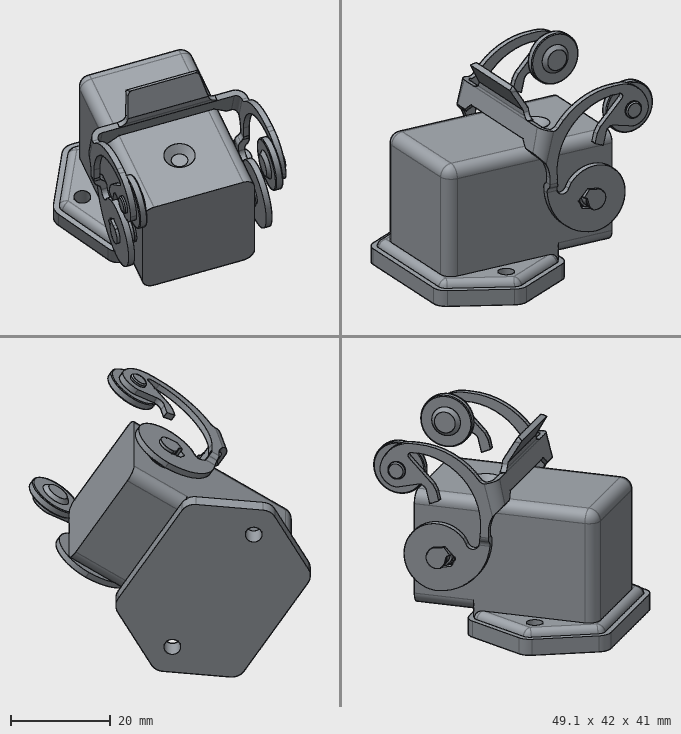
import cadquery as cq
import math

overall_length = 49.05

base_length = 30.05
flange_height = 3.45
lip_height = 1.45
lip_inset = 1.2
lip_fillet = 1.8
apex_y = 21.4
side_corner_y = 13.6
corner_radius = 3.05
base_center_x = base_length / 2
mount_hole_radius = 1.65
mount_hole_y = 15.0
base_top = flange_height + lip_height

body_left = 3.0
body_right = 41.55
body_half_width = 11.95
body_top = 28.5
body_round = 2.45
foot_right = 29.0
overhang_bottom = 4.55

recess_x = 30.5
recess_radius = 3.15
recess_floor_radius = 1.65
recess_depth = recess_radius - recess_floor_radius

sheet = 1.3
lever_outer_y = 16.6
lever_inner_y = lever_outer_y - sheet
disc_inner_y = lever_inner_y - sheet

bridge_tilt = 14.5
bridge_bend = 2.5
bridge_top_x = 22.7
bridge_top_z = 34.3
channel_reach = 29.45
bridge_bottom_x = 21.45
bridge_bottom_z = 29.1
relief_top_half = 10.1
relief_top_z = 30.55
relief_bottom_half = 12.85
relief_bottom_z = 28.15

joggle_top = 22.35
joggle_bottom = 20.1
joggle_rise = 0.75
arm_left = 24.3
arm_right = 26.0
arm_top = 40.55
slot_top = 38.6
arm_end_radius = 3.65
arm_end_offset = 3.15
tail_left = 24.4
tail_right = 26.75

tab_root_z = 34.85
tab_bend_z = 35.85
tab_lean = 30.0
tab_thickness = 1.2
tab_top = 41.0
tab_tip_half = 7.75
tab_corner = 1.05
tab_neck_half = 8.75
tab_neck_z = 35.55
tab_base_half = 10.4

pivot_x = 35.5
pivot_z = 16.5
disc_radius = 7.1
disc_neck_angle = 140.0
pivot_head_y = 15.95
pivot_head_radius = 2.2
lug_start = (0.85, 2.05)
lug_peak = (-1.6, 2.45)
lug_heel = (-2.85, 0.9)
key_tip = (-3.8, 0.2)
key_corner = (-2.85, -1.55)
key_end = (-0.85, -2.05)
pivot_steps = ((2.8, 12.35), (2.5, 13.55), (2.0, lever_inner_y))

roller_x = 43.6
roller_z = 34.55
roller_radius = overall_length - roller_x
roller_inner_y = 13.7
roller_edge = 0.2
hub_end_y = 12.9
hub_radius = 3.05
hub_tip_radius = 2.2
rivet_end_y = 17.25
rivet_radius = 1.8
rivet_chamfer = 0.3


def block(x_start, x_end, half_width, z_start, z_end):
    """Box centred on Y = 0."""
    size = (x_end - x_start, 2 * half_width, z_end - z_start)
    return cq.Workplane("XY", origin=(x_start, 0, z_start)).box(*size, centered=(False, True, False))


def side_plane(y):
    """XZ plane at the given Y; extruding from it goes toward +Y."""
    return cq.Workplane(cq.Plane((0, y, 0), (1, 0, 0), (0, -1, 0)))


def along_y(wire, length):
    """Extrude a closed XZ outline toward +Y."""
    return wire.extrude(-length)


def disc_along_y(x, z, radius, y_start, y_end):
    return along_y(side_plane(y_start).center(x, z).circle(radius), y_end - y_start)


def hexagon(inset):
    """Flange outline with sharp corners, moved inward by inset."""
    points = [
        (0, -side_corner_y),
        (base_center_x, -apex_y),
        (base_length, -side_corner_y),
        (base_length, side_corner_y),
        (base_center_x, apex_y),
        (0, side_corner_y),
    ]
    outline = cq.Workplane("XY").polyline(points).close()
    return outline.offset2D(-inset) if inset else outline


def make_base():
    """Flange with its rounded lip and two mounting holes."""
    flange = hexagon(0).extrude(flange_height).edges("|Z").fillet(corner_radius)
    lip = hexagon(lip_inset).extrude(base_top).edges("|Z").fillet(corner_radius - lip_inset)
    lip = lip.faces(">Z").edges().fillet(lip_fillet)
    holes = (
        cq.Workplane("XY")
        .pushPoints([(base_center_x, -mount_hole_y), (base_center_x, mount_hole_y)])
        .circle(mount_hole_radius)
        .extrude(base_top)
    )
    return flange.union(lip).cut(holes)


def make_body():
    """Rounded hood overhanging the base toward +X, with a foot down to the flange."""
    upper = block(body_left, body_right, body_half_width, overhang_bottom, body_top)
    upper = upper.edges("(<X and |Z) or (>Z and |X) or (>Z and <X)").fillet(body_round)
    upper = upper.faces("<Z").edges("|X").fillet(body_round)
    foot = block(body_left, foot_right, body_half_width, flange_height, overhang_bottom + 2 * body_round)
    foot = foot.edges("<X and |Z").fillet(body_round)
    recess = (
        cq.Workplane("XY", origin=(recess_x, 0, body_top))
        .circle(recess_radius)
        .workplane(offset=-recess_depth)
        .circle(recess_floor_radius)
        .loft()
    )
    return upper.union(foot).cut(recess)


def make_channel():
    """Tilted U-shaped sheet: the web is the bridge, the legs are the two arms."""
    outside = block(0, channel_reach, lever_outer_y, -channel_reach, channel_reach)
    outside = outside.edges("<X and |Z").fillet(bridge_bend)
    inside = block(sheet, channel_reach, lever_inner_y, -channel_reach, channel_reach)
    inside = inside.edges("<X and |Z").fillet(bridge_bend - sheet)
    channel = outside.cut(inside).rotate((0, 0, 0), (0, 1, 0), bridge_tilt)
    return channel.translate((bridge_top_x, 0, bridge_top_z))


def make_arm_outline():
    """Side outline of bridge, curved arm and hook, down to the joggle."""
    outline = (
        side_plane(-lever_outer_y)
        .moveTo(bridge_top_x, bridge_top_z)
        .lineTo(25.1, 33.7)
        .threePointArc((25.7, 33.85), (26.15, 34.15))
        .lineTo(27.45, 35.62)
        .threePointArc((32.75, 39.25), (39.25, arm_top))
        .lineTo(roller_x - arm_end_offset, arm_top)
        .threePointArc((45.3, 38.5), (roller_x + arm_end_radius, roller_z))
        .threePointArc((46.2, 32.0), (roller_x, roller_z - arm_end_radius))
        .lineTo(39.1, 32.1)
        .threePointArc((37.9, 31.75), (37.35, 30.7))
        .lineTo(36.7, 28.15)
        .lineTo(34.8, 29.0)
        .lineTo(35.3, 31.0)
        .lineTo(36.0, 32.35)
        .lineTo(41.05, 37.45)
        .threePointArc((41.2, 38.2), (40.65, slot_top))
        .lineTo(38.5, slot_top)
        .threePointArc((29.7, 34.35), (25.95, 25.75))
        .lineTo(arm_right, joggle_top)
        .lineTo(arm_left, joggle_top)
        .lineTo(arm_left, 23.8)
        .threePointArc((24.0, 25.5), (23.35, 27.0))
        .lineTo(bridge_bottom_x, bridge_bottom_z)
        .close()
    )
    return along_y(outline, 2 * lever_outer_y)


def make_bridge_relief():
    """Wide trapezoidal cutout under the bridge."""
    return (
        cq.Workplane("YZ")
        .moveTo(0, relief_top_z)
        .lineTo(relief_top_half, relief_top_z)
        .lineTo(relief_bottom_half, relief_bottom_z)
        .lineTo(relief_bottom_half, joggle_top)
        .lineTo(0, joggle_top)
        .mirrorY()
        .extrude(arm_left)
    )


def make_tab():
    """Thumb tab: bent side profile trimmed to a rounded trapezoid."""
    lean = math.radians(tab_lean)
    tilt = math.radians(bridge_tilt)
    back_x = bridge_top_x + (tab_root_z - bridge_top_z) * math.tan(tilt)
    front_x = back_x + tab_thickness
    tip_height = tab_top - tab_thickness * math.sin(lean)
    tip_x = back_x - (tip_height - tab_bend_z) * math.tan(lean)
    profile = (
        side_plane(-tab_base_half)
        .polyline([
            (bridge_top_x, bridge_top_z),
            (back_x, tab_root_z),
            (back_x, tab_bend_z),
            (tip_x, tip_height),
            (tip_x + tab_thickness * math.cos(lean), tab_top),
            (front_x, tab_bend_z + tab_thickness * math.tan(lean / 2)),
            (front_x, tab_root_z),
            (bridge_top_x + sheet * math.cos(tilt), bridge_top_z - sheet * math.sin(tilt)),
        ])
        .close()
    )
    trim = (
        cq.Workplane("YZ")
        .moveTo(0, tab_top)
        .lineTo(tab_tip_half - tab_corner, tab_top)
        .threePointArc((7.35, 40.8), (tab_tip_half, tab_top - tab_corner))
        .lineTo(tab_neck_half, tab_neck_z)
        .threePointArc((9.35, 34.7), (tab_base_half, bridge_top_z))
        .lineTo(tab_base_half, bridge_top_z - sheet)
        .lineTo(0, bridge_top_z - sheet)
        .mirrorY()
        .extrude(body_right)
    )
    return along_y(profile, 2 * tab_base_half).intersect(trim)


def make_joggle():
    """S-bend that carries the arm inward to the pivot disc."""
    drop = joggle_top - joggle_bottom
    inner_top = joggle_top + joggle_rise
    section = (
        cq.Workplane("YZ")
        .moveTo(lever_inner_y, inner_top)
        .lineTo(lever_outer_y, inner_top)
        .lineTo(lever_outer_y, joggle_top)
        .tangentArcPoint((-sheet / 2, -drop / 2))
        .tangentArcPoint((-sheet / 2, -drop / 2))
        .lineTo(disc_inner_y, joggle_bottom)
        .lineTo(disc_inner_y, inner_top - drop)
        .tangentArcPoint((sheet / 2, drop / 2))
        .tangentArcPoint((sheet / 2, drop / 2))
        .close()
        .extrude(body_right)
    )
    outline = (
        side_plane(disc_inner_y)
        .polyline([
            (arm_left, inner_top),
            (arm_right, inner_top),
            (arm_right, joggle_top),
            (tail_right, joggle_bottom),
            (tail_left, joggle_bottom),
            (arm_left, joggle_top),
        ])
        .close()
    )
    return section.intersect(along_y(outline, 2 * sheet))


def make_pivot_disc():
    """Disc with a tail up to the joggle and a keyhole around the pivot."""
    neck = math.radians(disc_neck_angle)
    neck_x = pivot_x + disc_radius * math.cos(neck)
    neck_z = pivot_z + disc_radius * math.sin(neck)
    outline = (
        side_plane(disc_inner_y)
        .moveTo(tail_left, joggle_bottom)
        .lineTo(tail_right, joggle_bottom)
        .threePointArc((28.1, 19.05), (29.45, 20.0))
        .lineTo(neck_x, neck_z)
        .threePointArc((pivot_x + disc_radius, pivot_z), (pivot_x, pivot_z - disc_radius))
        .threePointArc((27.75, 12.85), (tail_left, joggle_bottom))
        .close()
    )
    keyhole = (
        side_plane(disc_inner_y)
        .center(pivot_x, pivot_z)
        .polyline([lug_peak, key_tip, key_corner, key_end])
        .close()
    )
    return along_y(outline, sheet).cut(along_y(keyhole, sheet))


def make_pivot():
    """Stepped boss on the hood, and the pin through the disc with its lug."""
    head_length = pivot_head_y - disc_inner_y
    head = disc_along_y(pivot_x, pivot_z, pivot_head_radius, disc_inner_y, pivot_head_y)
    lug = (
        side_plane(disc_inner_y)
        .center(pivot_x, pivot_z)
        .polyline([lug_start, lug_peak, lug_heel, (0, 0)])
        .close()
    )
    notch = (
        side_plane(disc_inner_y)
        .center(pivot_x, pivot_z)
        .polyline([lug_heel, (-1.95, 0.35), (-1.55, -1.2), key_end, key_corner])
        .close()
    )
    pivot = head.cut(along_y(notch, head_length)).union(along_y(lug, head_length))
    root_y = body_half_width - body_round
    for radius, y_end in pivot_steps:
        pivot = pivot.union(disc_along_y(pivot_x, pivot_z, radius, root_y, y_end))
    return pivot


def make_roller():
    """Roller disc with a conical hub inside and a chamfered rivet head outside."""
    wheel = disc_along_y(roller_x, roller_z, roller_radius, roller_inner_y, lever_inner_y)
    wheel = wheel.edges().chamfer(roller_edge)
    hub_length = roller_inner_y - hub_end_y
    hub = (
        side_plane(roller_inner_y)
        .center(roller_x, roller_z)
        .circle(hub_radius)
        .workplane(offset=hub_length)
        .circle(hub_tip_radius)
        .loft()
    )
    rivet = disc_along_y(roller_x, roller_z, rivet_radius, lever_inner_y, rivet_end_y)
    rivet = rivet.faces(">Y").edges().chamfer(rivet_chamfer)
    return wheel.union(hub).union(rivet)


lever = make_channel().intersect(make_arm_outline()).cut(make_bridge_relief()).union(make_tab())
result = make_base().union(make_body()).union(lever)
for make_part in (make_joggle, make_pivot_disc, make_pivot, make_roller):
    part = make_part()
    result = result.union(part).union(part.mirror("XZ"))